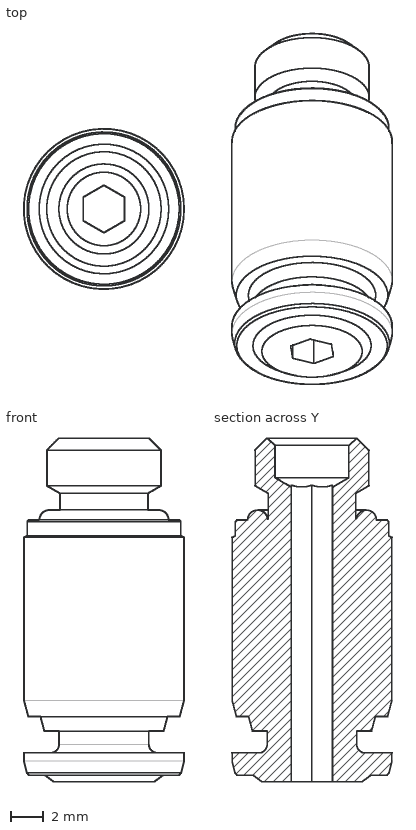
import cadquery as cq
import math

height = 21.0
body_radius = 9.8 / 2

foot_radius = 3.07
foot_base_radius = 3.61
foot_height = 0.4
flange_bottom_radius = 4.6
flange_chamfer_radius = 4.72
flange_chamfer_z = 0.57
flange_taper_z = 1.28
flange_top_z = 1.78

stem_radius = 5.5 / 2
stem_fillet = 0.5

taper_angle = math.radians(15)
spigot_bottom_z = 3.1
spigot_bottom_radius = 3.65
body_bottom_z = 4.0
body_taper_z = 5.0
body_top_z = 14.93
shoulder_rise = 0.1
spigot_top_radius = spigot_bottom_radius + (body_bottom_z - spigot_bottom_z) * math.tan(taper_angle)
body_bottom_radius = body_radius - (body_taper_z - body_bottom_z) * math.tan(taper_angle)

collar_radius = 9.4 / 2
collar_top_z = 16.0
collar_chamfer = 0.1

neck_radius = 5.4 / 2
ring_section_radius = 0.63
ring_center_z = 15.98
head_radius = 7.0 / 2
head_top_radius = stem_radius
head_bottom_z = 17.62
head_taper_z = 18.08
head_chamfer = head_radius - head_top_radius

bore_radius = 4.5 / 2
mouth_depth = 0.45
bore_bottom_z = 18.58
floor_angle = math.radians(30)
hex_across_flats = 2.5


def revolve_about_z(profile):
    return profile.close().revolve(360, (0, 0, 0), (0, 1, 0))


def make_turned_body():
    fillet_offset = stem_fillet * (1 - math.sqrt(0.5))
    profile = (
        cq.Workplane("XZ")
        .lineTo(foot_radius, 0)
        .lineTo(foot_base_radius, foot_height)
        .lineTo(flange_bottom_radius, foot_height)
        .lineTo(flange_chamfer_radius, flange_chamfer_z)
        .lineTo(body_radius, flange_taper_z)
        .lineTo(body_radius, flange_top_z)
        .lineTo(stem_radius + stem_fillet, flange_top_z)
        .threePointArc(
            (stem_radius + fillet_offset, flange_top_z + fillet_offset),
            (stem_radius, flange_top_z + stem_fillet),
        )
        .lineTo(stem_radius, spigot_bottom_z)
        .lineTo(spigot_bottom_radius, spigot_bottom_z)
        .lineTo(spigot_top_radius, body_bottom_z)
        .lineTo(body_bottom_radius, body_bottom_z)
        .lineTo(body_radius, body_taper_z)
        .lineTo(body_radius, body_top_z)
        .lineTo(collar_radius, body_top_z + shoulder_rise)
        .lineTo(collar_radius, collar_top_z - collar_chamfer)
        .lineTo(collar_radius - collar_chamfer, collar_top_z)
        .lineTo(neck_radius, collar_top_z)
        .lineTo(neck_radius, head_bottom_z)
        .lineTo(head_radius, head_taper_z)
        .lineTo(head_radius, height - head_chamfer)
        .lineTo(head_top_radius, height)
        .lineTo(0, height)
    )
    return revolve_about_z(profile)


def make_sealing_ring():
    ring_center_radius = neck_radius + ring_section_radius
    section = cq.Workplane("XZ").center(ring_center_radius, ring_center_z).circle(ring_section_radius)
    return section.revolve(360, (-ring_center_radius, 0, 0), (-ring_center_radius, 1, 0))


def make_bore():
    floor_tip_z = bore_bottom_z - bore_radius * math.tan(floor_angle)
    profile = (
        cq.Workplane("XZ")
        .moveTo(0, floor_tip_z)
        .lineTo(bore_radius, bore_bottom_z)
        .lineTo(bore_radius, height - mouth_depth)
        .lineTo(head_top_radius, height)
        .lineTo(0, height)
    )
    return revolve_about_z(profile)


def make_hex_hole():
    corner_diameter = hex_across_flats / math.cos(math.radians(30))
    return (
        cq.Workplane("XY")
        .transformed(rotate=(0, 0, 90))
        .polygon(6, corner_diameter)
        .extrude(bore_bottom_z)
    )


result = make_turned_body().union(make_sealing_ring()).cut(make_bore()).cut(make_hex_hole())